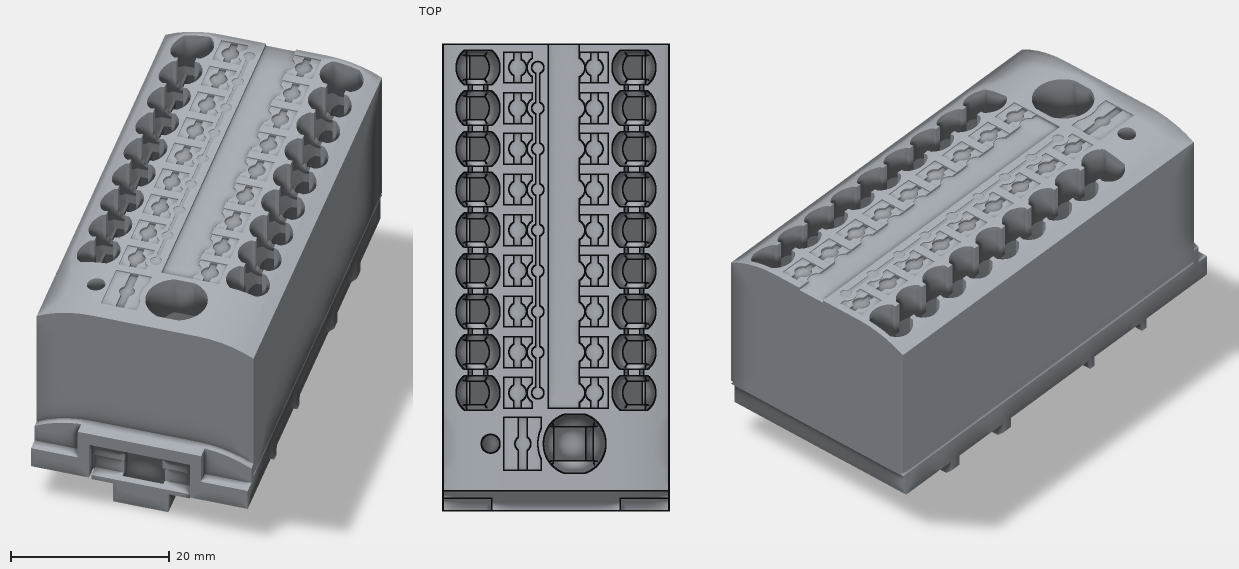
import cadquery as cq
import math

WIDTH = 28.6
LENGTH = 59.0
HEIGHT = 28.7
HALF_WIDTH = WIDTH / 2

CROWN_HALF = 7.0
CROWN_DROP = 1.9
FLANGE_THICKNESS = 2.55
FLANGE_TOP = 11.05
BASE_BOTTOM = 3.7
BASE_BACK = 58.35
HOUSING_BOTTOM = 7.1
GROOVE_TOP = 7.55
GROOVE_DEPTH = 0.35

EAR_INNER = 8.15
EAR_STEP = 1.6
EAR_FLOOR = 6.7
WINDOW_HALF = 6.65
WINDOW_TOP = 9.2
WINDOW_DEPTH = 1.8
SLOPE_TOP = 6.1
SLOPE_FOOT_Y = 2.2
SLOPE_HEAD_Y = 2.4
BAY_UPPER_HALF = 2.55
BAY_LOWER_HALF = 2.7
BAY_STEP_Z = 6.95
BAY_UPPER_Y = 3.55
BAY_EXTRA = 1.55
BAY_WELL_FRONT = 1.55
BAY_WELL_DEPTH = 2.35

ROWS = 9
FIRST_ROW_Y = 14.9
LAST_ROW_Y = 56.05
PITCH = (LAST_ROW_Y - FIRST_ROW_Y) / (ROWS - 1)
ROW_YS = [FIRST_ROW_Y + row * PITCH for row in range(ROWS)]
ENTRY_X = 9.85
ENTRY_RADIUS = 2.8
ENTRY_HALF_Y = 2.2
ENTRY_DEPTH = 6.5
ENTRY_SEAT_HALF_Y = 1.5
ENTRY_SEAT_REACH = 1.4
ENTRY_SEAT_SHOULDER = 0.8
SEAT_DEPTH = 2.35
SEAT_STEP = 0.35
FUNNEL_ANGLE = 45.0
LINK_TOP_WIDTH = 2.4
LINK_FLOOR_WIDTH = 1.4
LINK_DEPTH = 5.3
LINK_TAPER_HEIGHT = 0.6

SUPPLY_X = 2.35
SUPPLY_Y = 8.5
SUPPLY_RADIUS = 3.95
SUPPLY_HALF_Y = 3.7
SUPPLY_DEPTH = 7.1
SUPPLY_SEAT_LEFT = -0.3
SUPPLY_SEAT_RIGHT = 4.7
SUPPLY_SEAT_STEP = 0.95
SUPPLY_SEAT_HALF_Y = 2.1
TEST_X = -8.25
TEST_RADIUS = 1.2
TEST_DEPTH = 4.7

CHANNEL_LEFT = -1.0
CHANNEL_RIGHT = 2.95
CHANNEL_FRONT = 13.0
CHANNEL_DEPTH = 0.35
TILE_OUTER = 6.6
TILE_INNER = 3.0
TILE_HALF_Y = 1.95
TILE_DEPTH = 0.2
KEY_X = 4.85
KEY_WIDTH = 0.95
KEY_RADIUS = 1.1
KEY_DEPTH = 0.55
DOT_X = 2.3
DOT_RADIUS = 0.75
DOT_CLEARANCE = 1.35
RAIL_WIDTH = 0.5
DOT_DEPTH = 0.1
SUPPLY_TILE_INNER = 1.9
SUPPLY_TILE_HALF_Y = 3.35
SUPPLY_KEY_X = 4.2
SUPPLY_KEY_WIDTH = 1.1
SUPPLY_KEY_RADIUS = 1.0
SUPPLY_TILE_CLEARANCE = 4.65

REAR_FEET = ((48.75, 2.65), (38.7, 3.35))
FOOT_THICKNESS = 1.5
REAR_FOOT_BOTTOM = 1.3
FOOT_CHAMFER = 0.95
RIB_INNER = 7.4
RIB_OUTER = 12.2
GUSSET_RUN = 2.5
REAR_HOOK_REACH = 1.9
REAR_HOOK_TOP = 2.5
HOOK_CORNER = 0.25
FRONT_FOOT_YS = (22.35, 12.3)
FRONT_FOOT_BOTTOM = 2.25
WEDGE_FRONT = 0.6
WEDGE_BACK_TOP = 0.55
WEDGE_BACK_BOTTOM = 0.3
LUG_HALF = 5.5
LUG_BOTTOM = 1.7
LUG_LENGTH = 1.3
FRONT_HOOK_REACH = 2.25
FRONT_HOOK_TOP = 2.55
FRONT_HOOK_TIP_BOTTOM = 1.75
HOOK_BOTTOM = 0.3
HOOK_FLAT = 0.8
HOOK_WAIST = 0.6
HOOK_WAIST_Z = 2.1
HOOK_HEEL = 0.2
HOOK_HEEL_Z = 1.3
HOOK_ROOT = 2.1

LATCH_HALF = 3.65
LATCH_FRONT = 0.6
LATCH_BACK = 11.75
LATCH_KEEL_BACK = 12.9
PLATE_HALF = 6.5
PLATE_BOTTOM = 3.0
LATCH_NECK_Y = 3.65
LATCH_NECK_STEP = 0.25


def box(x0, x1, y0, y1, z0, z1):
    """Axis-aligned block given by its limits."""
    return cq.Workplane("XY").box(x1 - x0, y1 - y0, z1 - z0, centered=False).translate((x0, y0, z0))


def disc(x, y, radius, z0, z1):
    """Upright cylinder between two heights."""
    return cq.Workplane("XY", origin=(x, y, z0)).circle(radius).extrude(z1 - z0)


def side_profile(points, x0, x1):
    """Polygon of (y, z) points extruded along X."""
    return cq.Workplane("YZ", origin=(x0, 0, 0)).polyline(points).close().extrude(x1 - x0)


def both_sides(shape):
    return shape.union(shape.mirror("YZ"))


def crowned_block(y0, y1, bottom, top):
    """Full-width block whose flat top runs into the side walls through tangent arcs."""
    run = HALF_WIDTH - CROWN_HALF
    radius = (run**2 + CROWN_DROP**2) / (2 * CROWN_DROP)
    half_angle = math.asin(run / radius) / 2
    mid_x = CROWN_HALF + radius * math.sin(half_angle)
    mid_z = top - radius * (1 - math.cos(half_angle))
    shoulder = top - CROWN_DROP
    return (
        cq.Workplane("XZ", origin=(0, y1, 0))
        .moveTo(-HALF_WIDTH, bottom)
        .lineTo(HALF_WIDTH, bottom)
        .lineTo(HALF_WIDTH, shoulder)
        .threePointArc((mid_x, mid_z), (CROWN_HALF, top))
        .lineTo(-CROWN_HALF, top)
        .threePointArc((-mid_x, mid_z), (-HALF_WIDTH, shoulder))
        .close()
        .extrude(y1 - y0)
    )


def housing():
    upper = crowned_block(FLANGE_THICKNESS, LENGTH, HOUSING_BOTTOM, HEIGHT)
    base = box(-HALF_WIDTH, HALF_WIDTH, FLANGE_THICKNESS, BASE_BACK, BASE_BOTTOM, HOUSING_BOTTOM)
    groove = (
        cq.Workplane("XZ", origin=(0, LENGTH, 0))
        .polyline([
            (HALF_WIDTH, HOUSING_BOTTOM),
            (HALF_WIDTH, GROOVE_TOP),
            (HALF_WIDTH - GROOVE_DEPTH, GROOVE_TOP),
        ])
        .close()
        .extrude(LENGTH - FLANGE_THICKNESS)
    )
    return upper.union(base).cut(both_sides(groove))


def flange():
    plate = crowned_block(0, FLANGE_THICKNESS, BASE_BOTTOM, FLANGE_TOP)
    ear = box(EAR_INNER, HALF_WIDTH, 0, EAR_STEP, EAR_FLOOR, FLANGE_TOP)
    return plate.cut(both_sides(ear))


def sloped_panel_y(z):
    """Y of the leaning side panels of the window at a given height."""
    lean = (SLOPE_HEAD_Y - SLOPE_FOOT_Y) / (SLOPE_TOP - BASE_BOTTOM)
    return SLOPE_FOOT_Y + lean * (z - BASE_BOTTOM)


def panel_void(half, front, bottom, offset):
    """Space in front of a leaning panel, from a given depth below the window up to the panel top."""
    points = [
        (front, bottom),
        (sloped_panel_y(bottom) + offset, bottom),
        (sloped_panel_y(SLOPE_TOP) + offset, SLOPE_TOP),
        (front, SLOPE_TOP),
    ]
    return side_profile(points, -half, half)


def window():
    """Opening in the flange with leaning lower panels and a deeper bay in the middle."""
    opening = box(-WINDOW_HALF, WINDOW_HALF, 0, WINDOW_DEPTH, BASE_BOTTOM, WINDOW_TOP)
    step_y = sloped_panel_y(SLOPE_TOP) + BAY_EXTRA
    bay_upper = box(-BAY_UPPER_HALF, BAY_UPPER_HALF, 0, BAY_UPPER_Y, SLOPE_TOP, WINDOW_TOP)
    bay_step = box(-BAY_UPPER_HALF, BAY_UPPER_HALF, 0, step_y, SLOPE_TOP, BAY_STEP_Z)
    side_panels = panel_void(PLATE_HALF, 0, BASE_BOTTOM, 0)
    return opening.union(side_panels).union(bay_upper).union(bay_step)


def bay_well():
    """Lower part of the bay, sunk through the latch plate behind its front lip."""
    well_bottom = BASE_BOTTOM - BAY_WELL_DEPTH
    return panel_void(BAY_LOWER_HALF, BAY_WELL_FRONT, well_bottom, BAY_EXTRA)


def seat_outline(y, z, outer_reach):
    """Seat outline, square at its outer end and rounded at its inner end."""
    return (
        cq.Workplane("XY", origin=(ENTRY_X, y, z))
        .moveTo(-ENTRY_SEAT_SHOULDER, -ENTRY_SEAT_HALF_Y)
        .lineTo(outer_reach, -ENTRY_SEAT_HALF_Y)
        .lineTo(outer_reach, ENTRY_SEAT_HALF_Y)
        .lineTo(-ENTRY_SEAT_SHOULDER, ENTRY_SEAT_HALF_Y)
        .threePointArc((-ENTRY_SEAT_REACH, 0), (-ENTRY_SEAT_SHOULDER, -ENTRY_SEAT_HALF_Y))
        .close()
    )


def wire_entry(y):
    """Flattened round shaft that narrows through a funnel to a seat."""
    floor = HEIGHT - ENTRY_DEPTH
    shaft = disc(ENTRY_X, y, ENTRY_RADIUS, floor, HEIGHT)
    shaft = shaft.intersect(box(0, HALF_WIDTH, y - ENTRY_HALF_Y, y + ENTRY_HALF_Y, floor, HEIGHT))
    funnel = seat_outline(y, floor, ENTRY_SEAT_REACH).extrude(ENTRY_DEPTH, taper=-FUNNEL_ANGLE)
    seat = seat_outline(y, floor - SEAT_DEPTH, ENTRY_SEAT_REACH - SEAT_STEP).extrude(SEAT_DEPTH)
    return shaft.intersect(funnel).union(seat)


def entry_link():
    """Slot joining the entries of one side, narrowing towards its floor."""
    floor = HEIGHT - LINK_DEPTH
    return (
        cq.Workplane("XZ", origin=(ENTRY_X, LAST_ROW_Y, 0))
        .polyline([
            (-LINK_FLOOR_WIDTH / 2, floor),
            (LINK_FLOOR_WIDTH / 2, floor),
            (LINK_TOP_WIDTH / 2, floor + LINK_TAPER_HEIGHT),
            (LINK_TOP_WIDTH / 2, HEIGHT),
            (-LINK_TOP_WIDTH / 2, HEIGHT),
            (-LINK_TOP_WIDTH / 2, floor + LINK_TAPER_HEIGHT),
        ])
        .close()
        .extrude(LAST_ROW_Y - FIRST_ROW_Y)
    )


def supply_entry():
    floor = HEIGHT - SUPPLY_DEPTH
    low_y = SUPPLY_Y - SUPPLY_HALF_Y
    high_y = SUPPLY_Y + SUPPLY_HALF_Y
    seat_low = SUPPLY_Y - SUPPLY_SEAT_HALF_Y
    seat_high = SUPPLY_Y + SUPPLY_SEAT_HALF_Y
    shaft = disc(SUPPLY_X, SUPPLY_Y, SUPPLY_RADIUS, floor, HEIGHT)
    shaft = shaft.intersect(box(-HALF_WIDTH, HALF_WIDTH, low_y, high_y, floor, HEIGHT))
    funnel = (
        cq.Workplane("XY", origin=((SUPPLY_SEAT_LEFT + SUPPLY_SEAT_RIGHT) / 2, SUPPLY_Y, floor))
        .rect(SUPPLY_SEAT_RIGHT - SUPPLY_SEAT_LEFT, 2 * SUPPLY_SEAT_HALF_Y)
        .extrude(SUPPLY_DEPTH, taper=-FUNNEL_ANGLE)
    )
    seat = (
        cq.Workplane("XZ", origin=(0, seat_high, 0))
        .polyline([
            (SUPPLY_SEAT_LEFT, floor - SEAT_DEPTH),
            (SUPPLY_SEAT_RIGHT - SUPPLY_SEAT_STEP, floor - SEAT_DEPTH),
            (SUPPLY_SEAT_RIGHT, floor),
            (SUPPLY_SEAT_LEFT, floor),
        ])
        .close()
        .extrude(seat_high - seat_low)
    )
    return shaft.intersect(funnel).union(seat)


def test_hole():
    """Blind hole over a rounded floor that falls away towards the side wall."""
    hole = disc(TEST_X, SUPPLY_Y, TEST_RADIUS, HEIGHT - TEST_DEPTH, HEIGHT)
    rest_radius = 2 * TEST_RADIUS
    rest_x = TEST_X + TEST_RADIUS
    rest_back = SUPPLY_Y + TEST_RADIUS
    rest = (
        cq.Workplane("XZ", origin=(rest_x, rest_back, HEIGHT - TEST_DEPTH))
        .circle(rest_radius)
        .extrude(2 * TEST_RADIUS)
    )
    return hole.cut(rest)


def tile(y, inner, half_y, key_x, key_width, key_radius, clearance):
    """Shallow pocket with a deeper keyhole slot, its inner edge cut back around a round neighbour."""
    pocket = box(-TILE_OUTER, -inner, y - half_y, y + half_y, HEIGHT - TILE_DEPTH, HEIGHT).cut(clearance)
    key_floor = HEIGHT - KEY_DEPTH
    slot_left = -key_x - key_width / 2
    slot = box(slot_left, slot_left + key_width, y - half_y, y + half_y, key_floor, HEIGHT)
    return pocket.union(slot).union(disc(-key_x, y, key_radius, key_floor, HEIGHT))


def row_tile(y):
    clearance = disc(-DOT_X, y, DOT_CLEARANCE, HEIGHT - TILE_DEPTH, HEIGHT)
    return tile(y, TILE_INNER, TILE_HALF_Y, KEY_X, KEY_WIDTH, KEY_RADIUS, clearance)


def supply_tile():
    clearance = disc(SUPPLY_X, SUPPLY_Y, SUPPLY_TILE_CLEARANCE, HEIGHT - TILE_DEPTH, HEIGHT)
    return tile(
        SUPPLY_Y, SUPPLY_TILE_INNER, SUPPLY_TILE_HALF_Y,
        SUPPLY_KEY_X, SUPPLY_KEY_WIDTH, SUPPLY_KEY_RADIUS, clearance,
    )


def channel():
    """Long recess, with scallops reaching into the +X tiles."""
    floor = HEIGHT - CHANNEL_DEPTH
    recess = box(CHANNEL_LEFT, CHANNEL_RIGHT, CHANNEL_FRONT, LENGTH, floor, HEIGHT)
    for y in ROW_YS:
        recess = recess.union(disc(DOT_X, y, DOT_CLEARANCE, floor, HEIGHT))
    return recess


def dot_rail():
    floor = HEIGHT - DOT_DEPTH
    rail_left = -DOT_X - RAIL_WIDTH / 2
    rail = box(rail_left, rail_left + RAIL_WIDTH, FIRST_ROW_Y, LAST_ROW_Y, floor, HEIGHT)
    for y in ROW_YS:
        rail = rail.union(disc(-DOT_X, y, DOT_RADIUS, floor, HEIGHT))
    return rail


def rear_foot(y, gusset_reach):
    """Full-width bar with chamfered ends, carrying a gusset and a hook on each side."""
    bar = box(
        -HALF_WIDTH, HALF_WIDTH, y - FOOT_THICKNESS / 2, y + FOOT_THICKNESS / 2,
        REAR_FOOT_BOTTOM, BASE_BOTTOM,
    ).edges("<Z and |Y").chamfer(FOOT_CHAMFER)
    front = y - FOOT_THICKNESS / 2
    tip = y - REAR_HOOK_REACH
    rib = side_profile(
        [
            (y + gusset_reach, BASE_BOTTOM),
            (y + gusset_reach - GUSSET_RUN, REAR_FOOT_BOTTOM),
            (tip, REAR_FOOT_BOTTOM),
            (tip, REAR_HOOK_TOP - HOOK_CORNER),
            (tip + HOOK_CORNER, REAR_HOOK_TOP),
            (front, REAR_HOOK_TOP),
            (front, BASE_BOTTOM),
        ],
        RIB_INNER, RIB_OUTER,
    )
    return bar.union(both_sides(rib))


def front_foot(y):
    """Wedge bar on each side with a lug across the middle."""
    bar = side_profile(
        [
            (y + WEDGE_BACK_TOP, BASE_BOTTOM),
            (y + WEDGE_BACK_BOTTOM, FRONT_FOOT_BOTTOM),
            (y - WEDGE_FRONT, FRONT_FOOT_BOTTOM),
            (y - WEDGE_FRONT, BASE_BOTTOM),
        ],
        LUG_HALF, HALF_WIDTH,
    )
    lug = box(-LUG_HALF, LUG_HALF, y, y + LUG_LENGTH, LUG_BOTTOM, BASE_BOTTOM)
    return both_sides(bar).union(lug)


def hook_tip(y):
    """Upper outline of a backward hook, from the base down to the start of its lower slope."""
    tip = y + FRONT_HOOK_REACH
    return [
        (y + LUG_LENGTH, BASE_BOTTOM),
        (y + LUG_LENGTH, FRONT_HOOK_TOP),
        (tip - HOOK_CORNER, FRONT_HOOK_TOP),
        (tip, FRONT_HOOK_TOP - HOOK_CORNER),
        (tip, FRONT_HOOK_TIP_BOTTOM),
    ]


def hook(y):
    points = hook_tip(y) + [
        (y + HOOK_FLAT, HOOK_BOTTOM),
        (y, HOOK_BOTTOM),
        (y - HOOK_HEEL, HOOK_HEEL_Z),
        (y - HOOK_WAIST, HOOK_WAIST_Z),
        (y - HOOK_ROOT, BASE_BOTTOM),
    ]
    return side_profile(points, -LATCH_HALF, LATCH_HALF)


def latch():
    """T-shaped slide: a keel with a hook at its back end and a wide plate on top."""
    hook_y = FRONT_FOOT_YS[1]
    outline = hook_tip(hook_y) + [(LATCH_KEEL_BACK, 0), (LATCH_FRONT, 0), (LATCH_FRONT, BASE_BOTTOM)]
    keel = side_profile(outline, -LATCH_HALF, LATCH_HALF)
    plate = box(-PLATE_HALF, PLATE_HALF, LATCH_FRONT, LATCH_BACK, PLATE_BOTTOM, BASE_BOTTOM)
    neck_half = LATCH_HALF - LATCH_NECK_STEP
    relief_back = hook_y + FRONT_HOOK_REACH
    relief = (
        cq.Workplane("XY")
        .polyline([
            (LATCH_HALF, LATCH_NECK_Y),
            (neck_half, LATCH_NECK_Y + LATCH_NECK_STEP),
            (neck_half, relief_back),
            (LATCH_HALF, relief_back),
        ])
        .close()
        .extrude(PLATE_BOTTOM)
    )
    return keel.cut(both_sides(relief)).union(plate)


body = housing().union(flange()).cut(window())

entries = entry_link()
tiles = dot_rail()
for row_y in ROW_YS:
    entries = entries.union(wire_entry(row_y))
    left_tile = row_tile(row_y)
    tiles = tiles.union(left_tile).union(left_tile.mirror("YZ"))

body = body.cut(both_sides(entries)).cut(tiles).cut(channel())
body = body.cut(supply_tile()).cut(supply_entry()).cut(test_hole())

for foot_y, reach in REAR_FEET:
    body = body.union(rear_foot(foot_y, reach))
for foot_y in FRONT_FOOT_YS:
    body = body.union(front_foot(foot_y))
result = body.union(hook(FRONT_FOOT_YS[0])).union(latch()).cut(bay_well())